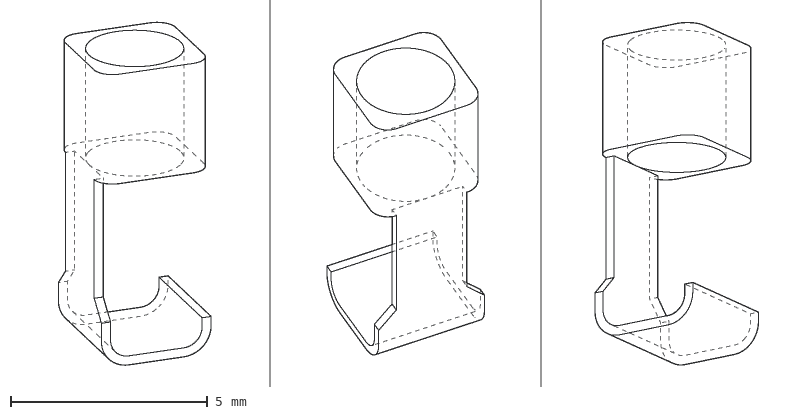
import cadquery as cq

total_height = 8.0
width = 3.0
strip_width = 2.0
lip_height = 1.0

corner_radius = (width - strip_width) / 2
thickness = corner_radius / 2
bore_diameter = width - 2 * thickness
inner_bend_radius = corner_radius
outer_bend_radius = inner_bend_radius + thickness
shoulder_bottom = lip_height + thickness
shoulder_top = shoulder_bottom + (width - strip_width) / 2
head_bottom = total_height - width
half_width = width / 2
half_strip = strip_width / 2


def make_head():
    """Rounded square block with a vertical through bore."""
    block = cq.Workplane("XY").workplane(offset=head_bottom).rect(width, width).extrude(width)
    return block.edges("|Z").fillet(corner_radius).faces(">Z").workplane().hole(bore_diameter)


def make_strip():
    """Flat strip on the -Y side, widening through sloped shoulders to the hook."""
    outline = [
        (-half_width, outer_bend_radius),
        (half_width, outer_bend_radius),
        (half_width, shoulder_bottom),
        (half_strip, shoulder_top),
        (half_strip, head_bottom),
        (-half_strip, head_bottom),
        (-half_strip, shoulder_top),
        (-half_width, shoulder_bottom),
    ]
    plane = cq.Workplane("XZ", origin=(0, -half_width, 0))
    return plane.polyline(outline).close().extrude(-thickness)


def make_hook():
    """U-shaped sheet with two rounded bends and a short lip on the +Y side."""
    inner_half = half_width - thickness
    profile = cq.Workplane("YZ", origin=(-half_width, 0, 0))
    outer = profile.center(0, lip_height / 2).rect(width, lip_height).extrude(width)
    outer = outer.edges("|X and <Z").fillet(outer_bend_radius)
    cavity_height = lip_height - thickness
    cavity = (
        profile.center(0, thickness + cavity_height / 2)
        .rect(2 * inner_half, cavity_height)
        .extrude(width)
        .edges("|X and <Z")
        .fillet(inner_bend_radius)
    )
    return outer.cut(cavity)


result = make_head().union(make_strip()).union(make_hook()).clean()